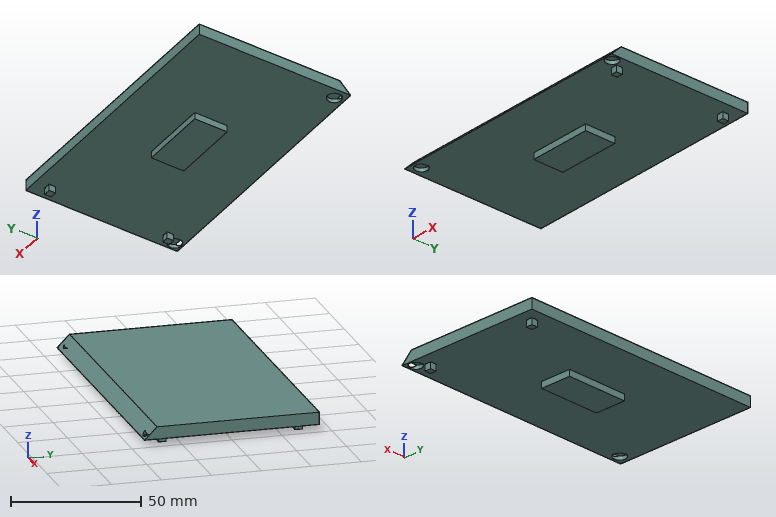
import cadquery as cq

plate_length = 119.8
plate_width = 70.0
plate_thickness = 5.0
bevel_run = 5.0

underside_height = 3.0
pad_length = 30.0
pad_width = 15.0
pad_center = (57.4, 36.2)
peg_side = 3.0
peg_x = 113.0
peg_front_y = 8.7
peg_back_y = 63.3

pocket_diameter = 6.1
pocket_depth = 1.75
left_pocket_center = (4.85, 4.3)
right_pocket_center = (116.0, 3.65)


def beveled_plate():
    """Flat plate whose front edge slopes back from the underside to the top."""
    profile = [
        (0, 0),
        (plate_width, 0),
        (plate_width, plate_thickness),
        (bevel_run, plate_thickness),
    ]
    return cq.Workplane("YZ").polyline(profile).close().extrude(plate_length)


def underside_block(center, length, width):
    """Rectangular block hanging below the plate."""
    return cq.Workplane("XY").center(*center).rect(length, width).extrude(-underside_height)


def underside_pocket(center):
    """Cylinder to remove for one round pocket."""
    return cq.Workplane("XY").center(*center).circle(pocket_diameter / 2).extrude(pocket_depth)


result = beveled_plate()
result = result.union(underside_block(pad_center, pad_length, pad_width))

for peg_y in (peg_front_y, peg_back_y):
    result = result.union(underside_block((peg_x, peg_y), peg_side, peg_side))

for pocket_center in (left_pocket_center, right_pocket_center):
    result = result.cut(underside_pocket(pocket_center))